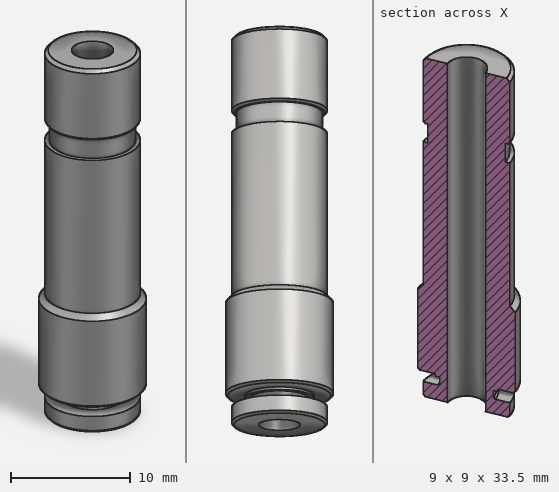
import cadquery as cq

bore_diameter = 3.5
neck_diameter = 5.0
seat_diameter = 5.8
groove_diameter = 7.2
stem_diameter = 8.0
collar_diameter = 9.0

button_top = 1.5
seat_bottom = 2.28
collar_bottom = 2.5
collar_top = 11.05
groove_bottom = 25.2
groove_top = 27.0
total_height = 33.5

small_chamfer = 0.2
head_chamfer = 0.3
neck_flare = 0.17
shoulder_chamfer = (collar_diameter - stem_diameter) / 2


def section(diameter, bottom, top, bottom_chamfer=0, top_chamfer=0):
    """Coaxial cylinder between two heights, with optional edge chamfers."""
    body = cq.Workplane("XY").workplane(offset=bottom).circle(diameter / 2).extrude(top - bottom)
    if bottom_chamfer:
        body = body.faces("<Z").chamfer(bottom_chamfer)
    if top_chamfer:
        body = body.faces(">Z").chamfer(top_chamfer)
    return body


button = section(stem_diameter, 0, button_top, bottom_chamfer=small_chamfer)
neck = section(neck_diameter, button_top, seat_bottom)
flare = (
    cq.Workplane("XY")
    .workplane(offset=button_top)
    .circle(neck_diameter / 2 + neck_flare)
    .workplane(offset=neck_flare)
    .circle(neck_diameter / 2)
    .loft(ruled=True)
)

seat = section(seat_diameter, seat_bottom, collar_bottom)
collar = section(collar_diameter, collar_bottom, collar_top, small_chamfer, shoulder_chamfer)

stem = section(stem_diameter, collar_top, groove_bottom)
groove = section(groove_diameter, groove_bottom, groove_top)
head = section(stem_diameter, groove_top, total_height, small_chamfer, head_chamfer)

bore = section(bore_diameter, 0, total_height)

result = button
for piece in (flare, neck, seat, collar, stem, groove, head):
    result = result.union(piece)
result = result.cut(bore)